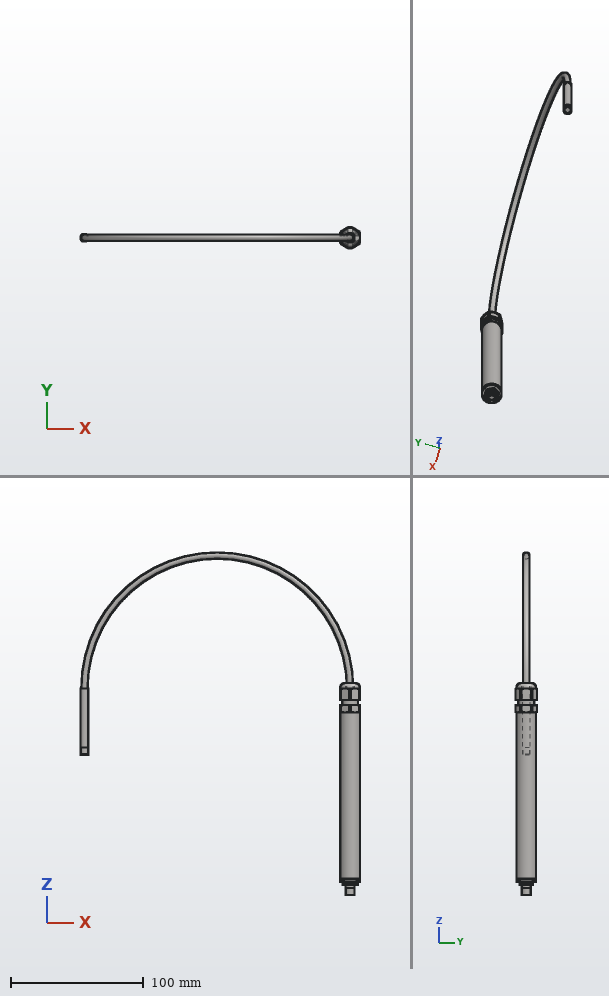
import cadquery as cq
import math


cable_dia = 5.0
cable_span = 200.0
overall_height = 258.0
loop_radius = cable_span / 2
loop_center_z = overall_height - cable_dia / 2 - loop_radius

probe_dia = 6.0
probe_length = 50.0
probe_top_z = loop_center_z
probe_bottom_z = probe_top_z - probe_length

tip_head_height = 0.8
tip_stem_dia = 5.0
tip_height = 5.5
tip_head_top_z = probe_bottom_z + tip_head_height
tip_top_z = probe_bottom_z + tip_height

corner_on_x = 0
corner_on_y = 30

plug_bottom_z = 0.0
plug_dia = 7.0
plug_hex_flats = 10.0
plug_hex_bottom_z = 7.7
plug_hex_height = 0.8
plug_neck_dia = 9.0
socket_dia = 6.0
socket_depth = 5.5
plug_hex_top_z = plug_hex_bottom_z + plug_hex_height

housing_dia = 15.0
cap_bottom_z = 10.0
cap_height = 1.5
relief_height = 0.8
relief_dia = 13.5
cap_top_z = cap_bottom_z + cap_height
housing_bottom_z = cap_top_z + relief_height
housing_top_z = 137.5

gland_flats = housing_dia
gland_corner_dia = 16.5
gland_neck_dia = 12.0
gland_base_top_z = 143.0
nut_bottom_z = 146.7
nut_hex_top_z = 155.5
nut_top_z = 159.6
dome_radius = 3.5
hex_chamfer_height = 0.5
nut_bore_dia = 7.0


def cylinder(diameter, bottom_z, top_z, axis_x=0.0):
    """Upright cylinder between two heights."""
    return cq.Workplane("XY", origin=(axis_x, 0, bottom_z)).circle(diameter / 2).extrude(top_z - bottom_z)


def hexagon(across_flats, bottom_z, top_z, turn):
    """Upright hexagonal prism on the housing axis, turned from having a corner on the X axis."""
    corner_dia = across_flats / math.cos(math.pi / 6)
    prism = cq.Workplane("XY").polygon(6, corner_dia).extrude(top_z - bottom_z)
    return prism.rotate((0, 0, 0), (0, 0, 1), turn).translate((0, 0, bottom_z))


def gland_hexagon(bottom_z, top_z, chamfered_end):
    """Hexagon with corners toward +Y and -Y, rounded off by a cylinder that is chamfered at one end."""
    chamfer_width = (gland_corner_dia - gland_flats) / 2
    envelope = cylinder(gland_corner_dia, bottom_z, top_z).faces(chamfered_end)
    envelope = envelope.chamfer(hex_chamfer_height, chamfer_width)
    return hexagon(gland_flats, bottom_z, top_z, corner_on_y).intersect(envelope)


def make_cable():
    """Half circle from the probe over to the gland."""
    path = cq.Workplane("XZ", origin=(-cable_span, 0, loop_center_z)).threePointArc(
        (loop_radius, loop_radius), (cable_span, 0)
    )
    return cq.Workplane("XY", origin=(-cable_span, 0, loop_center_z)).circle(cable_dia / 2).sweep(path)


def make_tip_stem():
    """Narrow part of the probe tip that goes into the probe."""
    return cylinder(tip_stem_dia, tip_head_top_z, tip_top_z, -cable_span)


def make_probe():
    """Round sleeve with a blind hole for the stem of the tip."""
    return cylinder(probe_dia, tip_head_top_z, probe_top_z, -cable_span).cut(make_tip_stem())


def make_probe_tip():
    """Plug with its head flush with the probe and its stem inside it."""
    return cylinder(probe_dia, probe_bottom_z, tip_head_top_z, -cable_span).union(make_tip_stem())


def make_gland():
    """Hexagonal base, round neck and domed hexagonal nut, with a blind bore where the cable enters."""
    base = gland_hexagon(housing_top_z, gland_base_top_z, "<Z")
    neck = cylinder(gland_neck_dia, gland_base_top_z, nut_bottom_z)
    nut = gland_hexagon(nut_bottom_z, nut_hex_top_z, ">Z")
    dome = cylinder(housing_dia, nut_hex_top_z, nut_top_z).faces(">Z").edges().fillet(dome_radius)
    bore = cylinder(nut_bore_dia, loop_center_z, nut_top_z)
    return base.union(neck).union(nut).union(dome).cut(bore)


def make_housing():
    """Plain round body between the end cap and the gland."""
    return cylinder(housing_dia, housing_bottom_z, housing_top_z)


def make_connector():
    """End cap with a narrower relief on top, and below it a neck, a hexagonal flange and a hollow plug."""
    cap = cylinder(housing_dia, cap_bottom_z, cap_top_z)
    relief = cylinder(relief_dia, cap_top_z, housing_bottom_z)
    neck = cylinder(plug_neck_dia, plug_hex_top_z, cap_bottom_z)
    flange = hexagon(plug_hex_flats, plug_hex_bottom_z, plug_hex_top_z, corner_on_x)
    plug = cylinder(plug_dia, plug_bottom_z, plug_hex_bottom_z)
    socket = cylinder(socket_dia, plug_bottom_z, plug_bottom_z + socket_depth)
    return cap.union(relief).union(neck).union(flange).union(plug).cut(socket)


cable = make_cable()
probe = make_probe()
probe_tip = make_probe_tip()
gland = make_gland()
housing = make_housing()
connector = make_connector()

bodies = [cable, probe, probe_tip, gland, housing, connector]
result = cq.Compound.makeCompound([body.solids().val() for body in bodies])